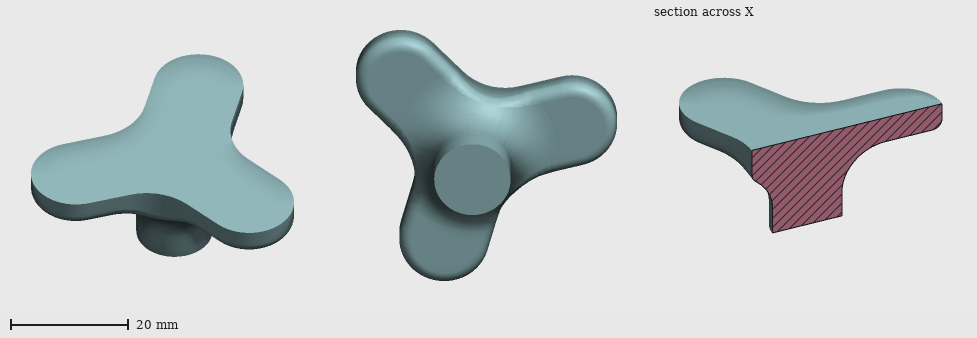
import cadquery as cq
import math

ARM_COUNT = 3
FIRST_ARM_ANGLE = -90.0
LOBE_RADIUS = 7.65
LOBE_DISTANCE = 17.5
VALLEY_RADIUS = 9.9
PLATE_THICKNESS = 5.0
HUB_DIAMETER = 13.0
HUB_STRAIGHT_HEIGHT = 5.0
FLARE_RADIUS = 8.0
RIM_FILLET = 2.0
BLANK_CLEARANCE = 1.0

ARM_PITCH = 360.0 / ARM_COUNT
HUB_RADIUS = HUB_DIAMETER / 2
PLATE_BOTTOM = HUB_STRAIGHT_HEIGHT + FLARE_RADIUS
TOTAL_HEIGHT = PLATE_BOTTOM + PLATE_THICKNESS
REACH = LOBE_DISTANCE + LOBE_RADIUS
BLANK_RADIUS = REACH + BLANK_CLEARANCE


def arm_point(angle, along, across):
    """Point given along and across a direction turned by angle degrees."""
    turn = math.radians(angle)
    x = along * math.cos(turn) - across * math.sin(turn)
    y = along * math.sin(turn) + across * math.cos(turn)
    return (x, y)


def make_arm_prism():
    """Full-height prism with the three-armed outline."""
    half_pitch = math.radians(ARM_PITCH / 2)
    valley_centre = (LOBE_RADIUS + VALLEY_RADIUS) / math.sin(half_pitch)
    valley_bottom = valley_centre - VALLEY_RADIUS
    flank_start = valley_centre * math.cos(half_pitch)

    start = arm_point(FIRST_ARM_ANGLE, flank_start, -LOBE_RADIUS)
    outline = cq.Workplane("XY").moveTo(*start)
    for i in range(ARM_COUNT):
        angle = FIRST_ARM_ANGLE + i * ARM_PITCH
        next_angle = angle + ARM_PITCH
        outline = (
            outline
            .lineTo(*arm_point(angle, LOBE_DISTANCE, -LOBE_RADIUS))
            .threePointArc(
                arm_point(angle, REACH, 0),
                arm_point(angle, LOBE_DISTANCE, LOBE_RADIUS),
            )
            .lineTo(*arm_point(angle, flank_start, LOBE_RADIUS))
            .threePointArc(
                arm_point(angle + ARM_PITCH / 2, valley_bottom, 0),
                arm_point(next_angle, flank_start, -LOBE_RADIUS),
            )
        )
    return outline.close().extrude(TOTAL_HEIGHT)


def make_turned_blank():
    """Hub, flare and plate revolved about the Z axis."""
    flare_outer = HUB_RADIUS + FLARE_RADIUS
    arc_offset = FLARE_RADIUS * math.sqrt(0.5)
    flare_middle = (flare_outer - arc_offset, HUB_STRAIGHT_HEIGHT + arc_offset)
    return (
        cq.Workplane("XZ")
        .lineTo(HUB_RADIUS, 0)
        .lineTo(HUB_RADIUS, HUB_STRAIGHT_HEIGHT)
        .threePointArc(flare_middle, (flare_outer, PLATE_BOTTOM))
        .lineTo(BLANK_RADIUS, PLATE_BOTTOM)
        .lineTo(BLANK_RADIUS, TOTAL_HEIGHT)
        .lineTo(0, TOTAL_HEIGHT)
        .close()
        .revolve(360, (0, 0, 0), (0, 1, 0))
    )


def round_lower_rim(body):
    """Round where the side walls meet the plate underside and the flare."""
    flank_rims = body.faces("#Z").edges("not (|Z or >Z)")
    return flank_rims.fillet(RIM_FILLET)


result = round_lower_rim(make_arm_prism().intersect(make_turned_blank()))